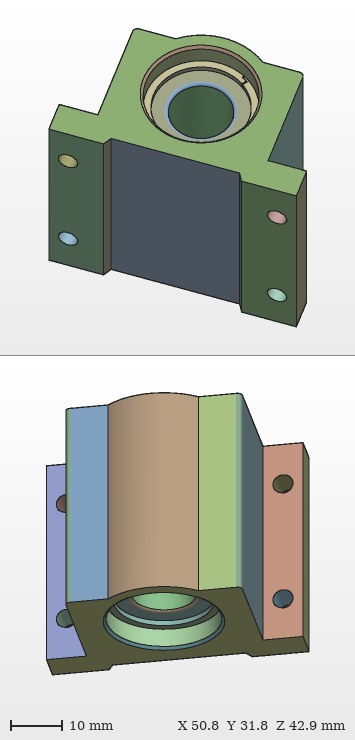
import cadquery as cq
import math

width = 50.8
length = 42.9
flange_thickness = 6.35
block_half_width = 17.5
bore_height = 17.5
shoulder_height = 28.6
shoulder_radius = 1.0
crown_radius = 14.3

relief_depth = 1.75
relief_half_width = 14.15
relief_flank_angle = 30.0

hole_diameter = 3.95
hole_pitch_x = 42.9
hole_pitch_z = 25.4

bore_radius = 11.3
bore_chamfer = 0.55

sleeve_length = 31.75
sleeve_bore_radius = 6.35
lead_in_width = 0.7
lead_in_radius = 0.8

ring_inner_radius = 9.75
ring_outer_radius = 11.9
ring_thickness = 1.05
ring_clearance = 0.15
joint_angle = 57.0
lap_length = 1.0
lap_gap = 0.05
end_gap = 0.2

mounting_face = -bore_height
flange_top = mounting_face + flange_thickness
shoulder = mounting_face + shoulder_height
half_length = length / 2
half_sleeve = sleeve_length / 2
ring_inner_face = half_sleeve + ring_clearance
ring_bases = (ring_inner_face, -ring_inner_face - ring_thickness)


def make_tube(outer_radius, inner_radius, base, height):
    return (
        cq.Workplane("XY", origin=(0, 0, base))
        .circle(outer_radius)
        .circle(inner_radius)
        .extrude(height)
    )


def make_block():
    crown_half_width = math.sqrt(crown_radius**2 - shoulder**2)
    relief_floor = mounting_face + relief_depth
    relief_slope_width = relief_depth * math.tan(math.radians(relief_flank_angle))
    relief_floor_half_width = relief_half_width - relief_slope_width
    block = (
        cq.Workplane("XY", origin=(0, 0, -half_length))
        .moveTo(-width / 2, mounting_face)
        .lineTo(-relief_half_width, mounting_face)
        .lineTo(-relief_floor_half_width, relief_floor)
        .lineTo(relief_floor_half_width, relief_floor)
        .lineTo(relief_half_width, mounting_face)
        .lineTo(width / 2, mounting_face)
        .lineTo(width / 2, flange_top)
        .lineTo(block_half_width, flange_top)
        .lineTo(block_half_width, shoulder)
        .lineTo(crown_half_width, shoulder)
        .threePointArc((0, crown_radius), (-crown_half_width, shoulder))
        .lineTo(-block_half_width, shoulder)
        .lineTo(-block_half_width, flange_top)
        .lineTo(-width / 2, flange_top)
        .close()
        .extrude(length)
    )
    for x in (-block_half_width, block_half_width):
        corner = cq.selectors.NearestToPointSelector((x, shoulder, 0))
        block = block.edges(corner).fillet(shoulder_radius)
    return block


def make_bore():
    mouth_radius = bore_radius + bore_chamfer
    chamfer_start = half_length - bore_chamfer
    return (
        cq.Workplane("XZ")
        .polyline([
            (0, -half_length),
            (mouth_radius, -half_length),
            (bore_radius, -chamfer_start),
            (bore_radius, chamfer_start),
            (mouth_radius, half_length),
            (0, half_length),
        ])
        .close()
        .revolve(360, (0, 0), (0, 1))
    )


def make_mounting_holes():
    return (
        cq.Workplane("XZ", origin=(0, flange_top, 0))
        .rect(hole_pitch_x, hole_pitch_z, forConstruction=True)
        .vertices()
        .circle(hole_diameter / 2)
        .extrude(flange_thickness)
    )


def make_housing():
    housing = make_block().cut(make_bore()).cut(make_mounting_holes())
    for base in ring_bases:
        housing = housing.cut(make_tube(ring_outer_radius, ring_inner_radius, base, ring_thickness))
    return housing


def make_sleeve():
    mouth_radius = sleeve_bore_radius + lead_in_width
    lead_in_depth = lead_in_radius - math.sqrt(lead_in_radius**2 - lead_in_width**2)
    lead_in_end = half_sleeve - lead_in_depth
    return (
        cq.Workplane("XZ")
        .moveTo(bore_radius, -half_sleeve)
        .lineTo(bore_radius, half_sleeve)
        .lineTo(mouth_radius, half_sleeve)
        .radiusArc((sleeve_bore_radius, lead_in_end), -lead_in_radius)
        .lineTo(sleeve_bore_radius, -lead_in_end)
        .radiusArc((mouth_radius, -half_sleeve), -lead_in_radius)
        .close()
        .revolve(360, (0, 0), (0, 1))
    )


def make_joint_gap(base):
    wall = ring_outer_radius - ring_inner_radius
    half_lap_gap = lap_gap / 2
    lap_end = lap_length / 2
    slot_end = lap_end + end_gap
    return (
        cq.Workplane("XY", origin=(0, 0, base))
        .transformed(rotate=(0, 0, joint_angle))
        .center(ring_inner_radius + wall / 2, 0)
        .polyline([
            (-wall, -slot_end),
            (half_lap_gap, -slot_end),
            (half_lap_gap, lap_end),
            (wall, lap_end),
            (wall, slot_end),
            (-half_lap_gap, slot_end),
            (-half_lap_gap, -lap_end),
            (-wall, -lap_end),
        ])
        .close()
        .extrude(ring_thickness)
    )


def make_retaining_ring(base):
    ring = make_tube(ring_outer_radius, ring_inner_radius, base, ring_thickness)
    return ring.cut(make_joint_gap(base))


housing = make_housing()
sleeve = make_sleeve()
retaining_rings = [make_retaining_ring(base) for base in ring_bases]

result = cq.Compound.makeCompound([
    housing.solids().val(),
    sleeve.solids().val(),
    *[ring.solids().val() for ring in retaining_rings],
])